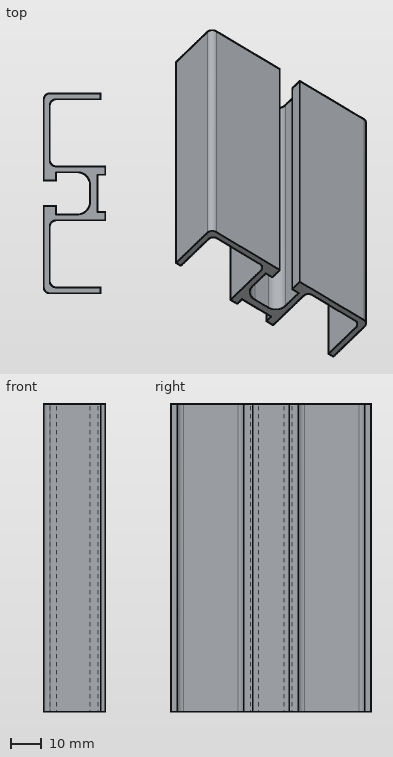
import cadquery as cq

depth = 20.0
width = 65.0
length = 100.0

wall = 2.0
flange_depth = 18.5
outer_radius = 2.0
inner_radius = 2.0

slot_opening = 8.2
slot_width = 13.6
lip_thickness = 4.0
slot_floor = 15.0
slot_radius = 4.0

recess_width = 12.0
recess_depth = 2.5

front = -depth / 2
back = depth / 2
core_width = slot_width + 2 * wall
channel_width = (width - core_width) / 2 - wall
channel_center = (core_width + channel_width) / 2


def block(x_start, x_end, y_size, y_center=0):
    """Full-length block between two X positions, centred on a Y position."""
    return (
        cq.Workplane("XY")
        .center((x_start + x_end) / 2, y_center)
        .rect(x_end - x_start, y_size)
        .extrude(length / 2, both=True)
    )


body = block(front, front + flange_depth, width).edges("|Z and <X").fillet(outer_radius)
core = block(front, back, core_width)
result = body.union(core)

for side in (-1, 1):
    channel = block(front + wall, back, channel_width, side * channel_center)
    result = result.cut(channel.edges("|Z and <X").fillet(inner_radius))

slot = block(front + lip_thickness, front + slot_floor, slot_width)
slot = slot.edges("|Z and >X").fillet(slot_radius)
mouth = block(front, front + lip_thickness, slot_opening)
result = result.cut(slot).cut(mouth)

result = result.cut(block(back - recess_depth, back, recess_width))